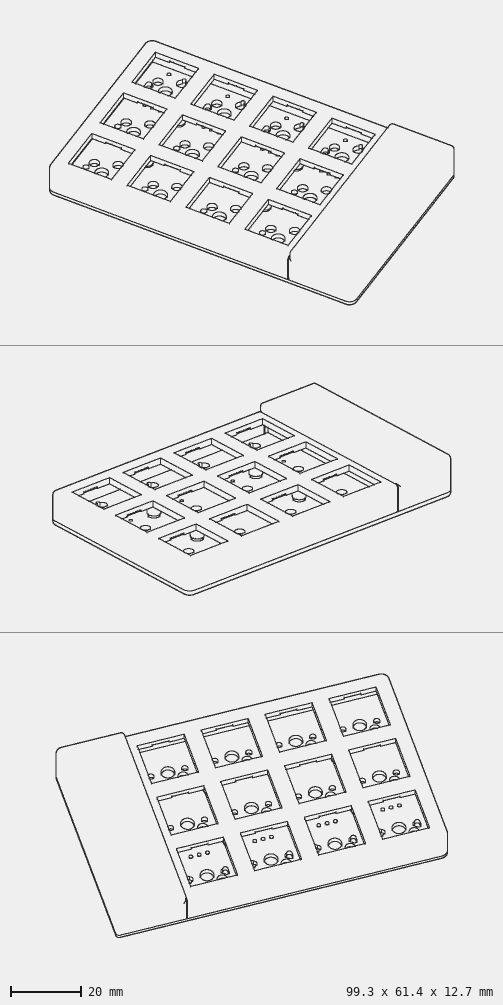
import cadquery as cq

LENGTH = 99.3
WIDTH = 61.4
HOOD_TOP = 12.7
KEYPAD_TOP = 10.3
CORNER_RADIUS = 2.4
BACK_CORNER_RADIUS = 1.0
EDGE_RADIUS = 1.0

BOTTOM_THICKNESS = 1.8
HOOD_LENGTH = 20.9
JOINT_GAP = 0.3
HOOD_FRONT_X = LENGTH / 2 - HOOD_LENGTH
CASE_END_X = HOOD_FRONT_X - JOINT_GAP

KEY_COLUMNS = 4
KEY_ROWS = 3
KEY_PITCH = 19.1
KEY_OPENING = 14.0
FIRST_COLUMN_INSET = 11.6
COLUMN_X = [-LENGTH / 2 + FIRST_COLUMN_INSET + column * KEY_PITCH for column in range(KEY_COLUMNS)]
ROW_Y = [(row - (KEY_ROWS - 1) / 2) * KEY_PITCH for row in range(KEY_ROWS)]
KEY_CENTRES = [(x, y) for x in COLUMN_X for y in ROW_Y]
BACK_ROW_CENTRES = [(x, ROW_Y[-1]) for x in COLUMN_X]

PLATE_THICKNESS = 2.0
CLIP_PLATE_THICKNESS = 1.5
CLIP_NOTCH_WIDTH = 5.0
CLIP_NOTCH_DEPTH = 0.4
PLATE_BOTTOM = KEYPAD_TOP - PLATE_THICKNESS

WALL = 2.6
INNER_START_X = -LENGTH / 2 + WALL
INNER_END_X = LENGTH / 2 - WALL
INNER_WIDTH = WIDTH - 2 * WALL
PARTITION_INSET = 1.1
PARTITION_X = HOOD_FRONT_X + PARTITION_INSET

BOARD_DEPTH = 6.5
BOARD_THICKNESS = 1.6
BOARD_TOP = KEYPAD_TOP - BOARD_DEPTH
BOARD_BOTTOM = BOARD_TOP - BOARD_THICKNESS

BOSS_DIAMETER = 4.0
NECK_DIAMETER = 3.1
NECK_HOLE_DIAMETER = 3.5
SHOULDER_CLEARANCE = 0.8
SHOULDER_Z = BOARD_TOP + SHOULDER_CLEARANCE
BOSS_X = [x + KEY_PITCH / 2 for x in COLUMN_X[::2]]
BOSS_Y = [y + KEY_PITCH / 2 for y in ROW_Y[:-1]]
BOSS_CENTRES = [(x, y) for x in BOSS_X for y in BOSS_Y]

CENTRE_HOLE_DIAMETER = 4.0
GUIDE_HOLE_DIAMETER = 1.8
GUIDE_OFFSETS = [(-5.1, 0), (5.1, 0)]
SWITCH_PIN_DIAMETER = 3.0
SWITCH_PIN_OFFSETS = [(-3.8, 2.6), (2.6, 5.1)]

TAB_SLOT_WIDTH = 1.5
TAB_SLOT_LENGTH = 2.8
TAB_SLOT_OFFSETS = [(-5.7, 0), (5.7, 0)]
ENCODER_PIN_DIAMETER = 1.1
ENCODER_SWITCH_OFFSETS = [(-2.5, 6.8), (2.5, 6.8)]
ENCODER_SIGNAL_OFFSETS = [(x, -7.6) for x in (-2.5, 0, 2.5)]
ENCODER_PIN_OFFSETS = ENCODER_SWITCH_OFFSETS + ENCODER_SIGNAL_OFFSETS


def plane_at(z):
    return cq.Workplane("XY", origin=(0, 0, z))


def block(x_start, x_end, width, z_start, z_end):
    """Box centred on Y = 0 between two X and two Z values."""
    return (
        plane_at(z_start)
        .center((x_start + x_end) / 2, 0)
        .rect(x_end - x_start, width)
        .extrude(z_end - z_start)
    )


def span(x_start, x_end, z_start, z_end):
    """Box wider than the part, used to keep one stretch of it."""
    return block(x_start, x_end, 2 * WIDTH, z_start, z_end)


def rounded_block(top):
    """Plan outline of the whole part, with its corner radii, from Z = 0 up to top."""
    body = block(-LENGTH / 2, LENGTH / 2, WIDTH, 0, top)
    body = body.edges("|Z and (<X or <Y)").fillet(CORNER_RADIUS)
    back_corner = cq.selectors.NearestToPointSelector((LENGTH / 2, WIDTH / 2, top / 2))
    return body.edges(back_corner).fillet(BACK_CORNER_RADIUS)


def keypad_block():
    return rounded_block(KEYPAD_TOP).faces(">Z").edges().fillet(EDGE_RADIUS)


def cylinders(centres, diameter, z_start, z_end):
    return plane_at(z_start).pushPoints(centres).circle(diameter / 2).extrude(z_end - z_start)


def offset_points(centres, offsets):
    return [(x + dx, y + dy) for x, y in centres for dx, dy in offsets]


def make_bottom_plate():
    body = rounded_block(KEYPAD_TOP).faces("<Z").edges().fillet(EDGE_RADIUS)
    return body.intersect(span(-LENGTH, LENGTH, 0, BOTTOM_THICKNESS))


def key_openings():
    openings = (
        plane_at(PLATE_BOTTOM)
        .pushPoints(KEY_CENTRES)
        .rect(KEY_OPENING, KEY_OPENING)
        .extrude(PLATE_THICKNESS)
    )
    clip_notches = (
        plane_at(PLATE_BOTTOM)
        .pushPoints(KEY_CENTRES)
        .rect(CLIP_NOTCH_WIDTH, KEY_OPENING + 2 * CLIP_NOTCH_DEPTH)
        .extrude(PLATE_THICKNESS - CLIP_PLATE_THICKNESS)
    )
    return openings.union(clip_notches)


def make_keypad_case():
    body = keypad_block().intersect(span(-LENGTH, CASE_END_X, BOTTOM_THICKNESS, HOOD_TOP))
    body = body.cut(block(INNER_START_X, CASE_END_X, INNER_WIDTH, BOTTOM_THICKNESS, PLATE_BOTTOM))
    body = body.cut(key_openings())
    bosses = cylinders(BOSS_CENTRES, BOSS_DIAMETER, SHOULDER_Z, PLATE_BOTTOM)
    necks = cylinders(BOSS_CENTRES, NECK_DIAMETER, BOTTOM_THICKNESS, SHOULDER_Z)
    return body.union(bosses).union(necks)


def make_hood():
    raised = rounded_block(HOOD_TOP).intersect(
        span(HOOD_FRONT_X, LENGTH, KEYPAD_TOP - EDGE_RADIUS, HOOD_TOP)
    )
    raised = raised.edges("|Z and <X").fillet(EDGE_RADIUS)
    raised = raised.faces(">Z").edges().fillet(EDGE_RADIUS)
    base = keypad_block().intersect(span(HOOD_FRONT_X, LENGTH, BOTTOM_THICKNESS, HOOD_TOP))
    hood = raised.union(base)

    board_space = block(HOOD_FRONT_X, INNER_END_X, INNER_WIDTH, BOTTOM_THICKNESS, BOARD_TOP)
    front_recess = block(HOOD_FRONT_X, PARTITION_X, INNER_WIDTH, BOARD_TOP, PLATE_BOTTOM)
    cavity_top = HOOD_TOP - PLATE_THICKNESS
    main_cavity = block(PARTITION_X + WALL, INNER_END_X, INNER_WIDTH, BOARD_TOP, cavity_top)
    return hood.cut(board_space).cut(front_recess).cut(main_cavity)


def make_board():
    board = block(INNER_START_X, INNER_END_X, INNER_WIDTH, BOARD_BOTTOM, BOARD_TOP)
    round_holes = [
        (BOSS_CENTRES, NECK_HOLE_DIAMETER),
        (KEY_CENTRES, CENTRE_HOLE_DIAMETER),
        (offset_points(KEY_CENTRES, GUIDE_OFFSETS), GUIDE_HOLE_DIAMETER),
        (offset_points(KEY_CENTRES, SWITCH_PIN_OFFSETS), SWITCH_PIN_DIAMETER),
        (offset_points(BACK_ROW_CENTRES, ENCODER_PIN_OFFSETS), ENCODER_PIN_DIAMETER),
    ]
    for centres, diameter in round_holes:
        board = board.cut(cylinders(centres, diameter, BOARD_BOTTOM, BOARD_TOP))
    tab_slots = (
        plane_at(BOARD_BOTTOM)
        .pushPoints(offset_points(BACK_ROW_CENTRES, TAB_SLOT_OFFSETS))
        .slot2D(TAB_SLOT_LENGTH, TAB_SLOT_WIDTH, 90)
        .extrude(BOARD_THICKNESS)
    )
    return board.cut(tab_slots)


bottom_plate = make_bottom_plate()
keypad_case = make_keypad_case()
hood = make_hood()
board = make_board()

result = cq.Compound.makeCompound(
    [
        bottom_plate.solids().val(),
        keypad_case.solids().val(),
        hood.solids().val(),
        board.solids().val(),
    ]
)